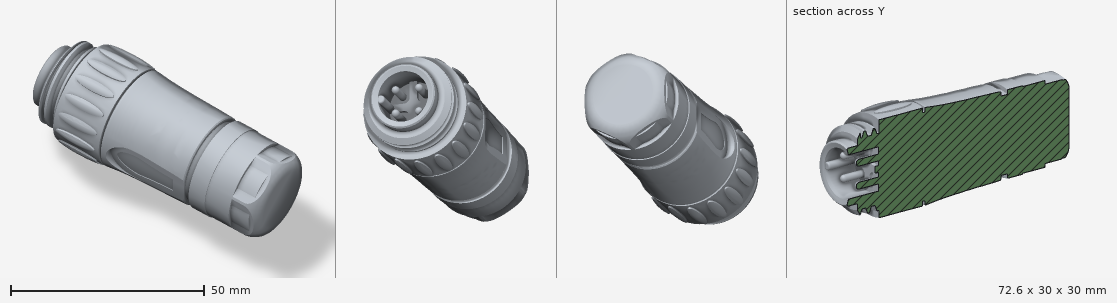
import cadquery as cq
import math

CUT_MARGIN = 0.2

THREAD_START = 3.4
THREAD_LAND_END = 4.5
COLLAR_START = 10.4
COLLAR_END = 24.75
SHELL_START = 25.4
SHELL_TAPER_START = 25.9
SHELL_WAIST_START = 34.85
SHELL_WAIST_END = 42.1
SHELL_END = 50.3
RING_START = 52.3
NUT_START = 57.35
HEX_START = 64.75
LENGTH = 72.6

SLEEVE_D = 17.4
SLEEVE_CHAMFER = 0.35
THREAD_D = 24.0
THREAD_ROOT_D = 20.8
COLLAR_D = 28.0
RIB_CREST_D = 30.0
SEAT_D = 25.5
NECK_D = 23.0
NUT_D = 25.0
SHELL_SHOULDER_R = 13.95
SHELL_WAIST_START_R = 13.2
SHELL_WAIST_END_R = 13.0
SHELL_EDGE_CHAMFER = 0.3

MOUTH_D = 16.4
MOUTH_DEPTH = 0.4
SOCKET_D = 13.7
SOCKET_DEPTH = 10.2
CROSS_WIDTH = 2.0
CROSS_HEIGHT = 1.1
CROSS_FILLET = 1.6
PIN_D = 2.0
PIN_CIRCLE_D = 9.0
PIN_TIP = 3.0
PIN_COUNT = 4
KEY_D = 2.25
KEY_CENTRE_Y = 6.3
KEY_START = 0.7
KEY_ROUND = 0.4

THREAD_CHAMFER_LENGTH = 0.95
THREAD_PITCH = 3.05
GROOVE_START = 2.6
GROOVE_TURNS = 3
GROOVE_ROOT_WIDTH = 1.1
GROOVE_TOP_WIDTH = 2.4

RIB_COUNT = 16
RIB_LENGTH = 12.05
RIB_WIDTH = 2.9
RIB_CENTRE_X = 17.5
RIB_END_R = 14.45
RIB_CROWN_R = 2.3

FLAT_DISTANCE = THREAD_D / 2
FLAT_TIP_X = 27.3
FLAT_WIDEST_X = 34.1
FLAT_HALF_HEIGHT = 5.3
FLAT_WALL_DRAFT = 13
PANEL_TIP_X = 29.25
PANEL_WIDEST_X = 36.0
PANEL_END_X = 46.9
PANEL_HALF_HEIGHT = 3.5
PANEL_END_HALF_HEIGHT = 2.3
PANEL_WAIST_X = 41.4
PANEL_WAIST_HALF_HEIGHT = 2.7
PANEL_DEPTH = 0.2

HEX_SIDES = 6
HEX_ACROSS_FLATS = 22.0
HEX_ROUND = 4.2
WINDOW_END = 70.3


def cylinder(diameter, start, end):
    """Solid cylinder on the X axis between two stations."""
    return cq.Workplane("YZ", origin=(start, 0, 0)).circle(diameter / 2).extrude(end - start)


def revolve_about_x(profile):
    """Full turn about X of a closed profile drawn as (x, radius)."""
    return profile.close().revolve(360, (0, 0, 0), (1, 0, 0))


def threaded_end():
    """Coupling thread: a right-hand groove cut into a cylinder."""
    blank = cylinder(THREAD_D, THREAD_START, COLLAR_START)

    root_r = THREAD_ROOT_D / 2
    crest_r = THREAD_D / 2
    flank = (GROOVE_TOP_WIDTH - GROOVE_ROOT_WIDTH) / 2 / (crest_r - root_r)
    root_half = GROOVE_ROOT_WIDTH / 2
    top_half = GROOVE_TOP_WIDTH / 2 + flank * CUT_MARGIN
    path = cq.Wire.makeHelix(THREAD_PITCH, THREAD_PITCH * GROOVE_TURNS, root_r)
    groove = (
        cq.Workplane("XZ")
        .moveTo(root_r, -root_half)
        .lineTo(root_r, root_half)
        .lineTo(crest_r + CUT_MARGIN, top_half)
        .lineTo(crest_r + CUT_MARGIN, -top_half)
        .close()
        .sweep(cq.Workplane(path), isFrenet=True)
        .rotate((0, 0, 0), (0, 1, 0), 90)
        .translate((GROOVE_START, 0, 0))
    )

    chamfer_end = THREAD_START + THREAD_CHAMFER_LENGTH
    land = revolve_about_x(
        cq.Workplane("XY")
        .moveTo(THREAD_START, 0)
        .lineTo(THREAD_START, root_r)
        .lineTo(chamfer_end, crest_r)
        .lineTo(THREAD_LAND_END, crest_r)
        .lineTo(THREAD_LAND_END, 0)
    )
    front_of_blank = cylinder(THREAD_D, THREAD_START, THREAD_LAND_END)
    return blank.cut(groove).cut(front_of_blank).union(land)


def grip_collar():
    """Coupling collar with a ring of finger ribs."""
    collar = cylinder(COLLAR_D, COLLAR_START, COLLAR_END)

    half = RIB_LENGTH / 2
    crown_axis_z = RIB_CREST_D / 2 - RIB_CROWN_R
    crown_end_r = RIB_END_R - crown_axis_z
    crown = revolve_about_x(
        cq.Workplane("XY")
        .moveTo(-half, 0)
        .lineTo(-half, crown_end_r)
        .threePointArc((0, RIB_CROWN_R), (half, crown_end_r))
        .lineTo(half, 0)
    )
    rib = cq.Workplane("XY").ellipse(half, RIB_WIDTH / 2).extrude(RIB_CROWN_R).intersect(crown)
    rib = rib.translate((RIB_CENTRE_X, 0, crown_axis_z))
    for i in range(RIB_COUNT):
        collar = collar.union(rib.rotate((0, 0, 0), (1, 0, 0), i * 360 / RIB_COUNT))
    return collar


def shell_flat():
    """Material removed from the -Y side of the shell: thumb flat and shallow panel."""
    cut_height = COLLAR_D / 2 - FLAT_DISTANCE + CUT_MARGIN
    tip_length = FLAT_WIDEST_X - FLAT_TIP_X
    flat = (
        cq.Workplane("XZ", origin=(FLAT_WIDEST_X, -FLAT_DISTANCE, 0))
        .ellipse(tip_length, FLAT_HALF_HEIGHT)
        .extrude(cut_height, taper=-FLAT_WALL_DRAFT)
    )
    flat = flat.union(
        cq.Workplane("XZ", origin=(0, -FLAT_DISTANCE, 0))
        .moveTo(FLAT_WIDEST_X, -FLAT_HALF_HEIGHT)
        .lineTo(SHELL_END, -FLAT_HALF_HEIGHT)
        .lineTo(SHELL_END, FLAT_HALF_HEIGHT)
        .lineTo(FLAT_WIDEST_X, FLAT_HALF_HEIGHT)
        .close()
        .extrude(cut_height)
    )
    panel = (
        cq.Workplane("XZ", origin=(0, PANEL_DEPTH - FLAT_DISTANCE, 0))
        .moveTo(PANEL_END_X, -PANEL_END_HALF_HEIGHT)
        .lineTo(PANEL_END_X, PANEL_END_HALF_HEIGHT)
        .threePointArc((PANEL_WAIST_X, PANEL_WAIST_HALF_HEIGHT), (PANEL_WIDEST_X, PANEL_HALF_HEIGHT))
        .ellipseArc(
            PANEL_WIDEST_X - PANEL_TIP_X, PANEL_HALF_HEIGHT, 90, 270, startAtCurrent=True
        )
        .threePointArc((PANEL_WAIST_X, -PANEL_WAIST_HALF_HEIGHT), (PANEL_END_X, -PANEL_END_HALF_HEIGHT))
        .close()
        .extrude(PANEL_DEPTH)
    )
    return flat.union(panel)


def shell():
    """Waisted body shell with a thumb flat on both Y sides."""
    seat_r = SEAT_D / 2
    body = revolve_about_x(
        cq.Workplane("XY")
        .moveTo(SHELL_START, 0)
        .lineTo(SHELL_START, SHELL_SHOULDER_R)
        .lineTo(SHELL_TAPER_START, SHELL_SHOULDER_R)
        .spline(
            [
                (SHELL_WAIST_START, SHELL_WAIST_START_R),
                (SHELL_WAIST_END, SHELL_WAIST_END_R),
                (SHELL_END - SHELL_EDGE_CHAMFER, seat_r),
            ],
            includeCurrent=True,
        )
        .lineTo(SHELL_END, seat_r - SHELL_EDGE_CHAMFER)
        .lineTo(SHELL_END, 0)
    )
    flat = shell_flat()
    return body.cut(flat).cut(flat.rotate((0, 0, 0), (1, 0, 0), 180))


def clamping_nut():
    """Rear ring and nut; the round core stands proud of the hexagon flats."""
    rounded_end = cylinder(NUT_D, HEX_START, LENGTH).faces(">X").edges().fillet(HEX_ROUND)
    hexagon = (
        cq.Workplane("YZ", origin=(HEX_START, 0, 0))
        .polygon(HEX_SIDES, HEX_ACROSS_FLATS, circumscribed=True)
        .extrude(LENGTH - HEX_START)
    )
    return (
        cylinder(SEAT_D, RING_START, NUT_START)
        .union(cylinder(NUT_D, NUT_START, HEX_START))
        .union(rounded_end.intersect(hexagon))
        .union(cylinder(NECK_D, HEX_START, WINDOW_END))
    )


def socket():
    """Space inside the front sleeve, with a flared mouth."""
    return revolve_about_x(
        cq.Workplane("XY")
        .moveTo(0, 0)
        .lineTo(0, MOUTH_D / 2)
        .lineTo(MOUTH_DEPTH, SOCKET_D / 2)
        .lineTo(SOCKET_DEPTH, SOCKET_D / 2)
        .lineTo(SOCKET_DEPTH, 0)
    )


def contact_insert():
    """Raised cross on the socket floor, polarising key and four round-nosed pins."""
    cross_top = SOCKET_DEPTH - CROSS_HEIGHT
    plane = cq.Workplane("YZ", origin=(cross_top, 0, 0))
    cross = plane.rect(SOCKET_D, CROSS_WIDTH).extrude(CROSS_HEIGHT)
    cross = cross.union(plane.rect(CROSS_WIDTH, SOCKET_D).extrude(CROSS_HEIGHT))
    inner_corners = cq.selectors.BoxSelector(
        (0, -CROSS_WIDTH, -CROSS_WIDTH), (SOCKET_DEPTH, CROSS_WIDTH, CROSS_WIDTH)
    )
    cross = cross.edges("|X").edges(inner_corners).fillet(CROSS_FILLET)

    key = cylinder(KEY_D, KEY_START, SOCKET_DEPTH).faces("<X").edges().fillet(KEY_ROUND)
    insert = cross.union(key.translate((0, KEY_CENTRE_Y, 0)))

    nose = cq.Workplane("XY", origin=(PIN_TIP + PIN_D / 2, 0, 0)).sphere(PIN_D / 2)
    pin = cylinder(PIN_D, PIN_TIP + PIN_D / 2, SOCKET_DEPTH).union(nose)
    for i in range(PIN_COUNT):
        angle = 2 * math.pi * (i + 0.5) / PIN_COUNT
        offset_y = PIN_CIRCLE_D / 2 * math.cos(angle)
        offset_z = PIN_CIRCLE_D / 2 * math.sin(angle)
        insert = insert.union(pin.translate((0, offset_y, offset_z)))
    return insert


sleeve = cylinder(SLEEVE_D, 0, THREAD_START).faces("<X").chamfer(SLEEVE_CHAMFER)
front_neck = cylinder(SEAT_D, COLLAR_END, SHELL_START)
rear_neck = cylinder(NECK_D, SHELL_END, RING_START)

result = (
    sleeve.union(threaded_end())
    .union(grip_collar())
    .union(front_neck)
    .union(shell())
    .union(rear_neck)
    .union(clamping_nut())
    .cut(socket())
    .union(contact_insert())
)